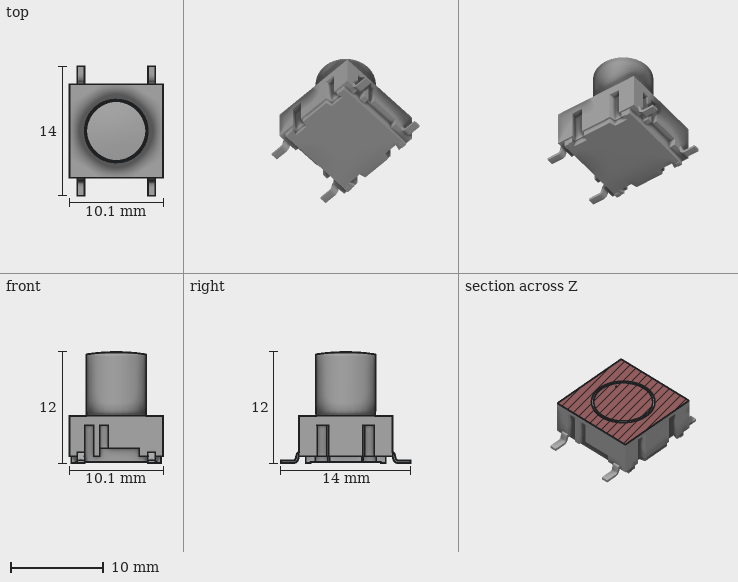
import cadquery as cq
import math

body_side = 10.1
total_height = 12.0
span_over_legs = 14.0

base_floor_z = 0.1
housing_bottom_z = 0.73
window_top_z = 1.6
cover_bottom_z = 4.1
cover_top_z = 5.1

base_length = 9.7
base_width = 8.66
base_foot_length = 0.5
base_foot_width = 0.55

groove_wall_lean = 0.2
groove_depth = 0.75
groove_outer_y = 3.07
groove_inner_y = 1.85
base_groove_depth = 0.7
base_groove_outer_y = 3.3
base_groove_inner_y = 1.71

channel_start_x = -3.4
rib_start_x = -2.4
rib_end_x = -1.75
slot_end_x = -0.85
window_end_x = 2.5
slot_depth = 0.53

cover_hole_diameter = 6.8
button_diameter = 6.5
button_foot_diameter = 6.4
button_step_z = 6.4
dome_edge_z = 11.73
rim_fillet = 0.15

leg_pitch = 7.62
leg_width = 0.8
leg_thickness = 0.3
leg_top_z = 1.17
leg_tilt = math.radians(15)
leg_small_radius = 0.27
leg_large_radius = leg_small_radius + leg_thickness
leg_shin_y = 5.46
leg_embed = 0.3

half_side = body_side / 2
half_base_length = base_length / 2
half_base_width = base_width / 2


def block(x_range, y_range, z_range):
    """Box given by its limits along each axis."""
    (x0, x1), (y0, y1), (z0, z1) = x_range, y_range, z_range
    return cq.Workplane("XY").box(x1 - x0, y1 - y0, z1 - z0, centered=False).translate((x0, y0, z0))


def half_turn(shape):
    """Copy of a shape turned 180 degrees about the vertical axis."""
    return shape.rotate((0, 0, 0), (0, 0, 1), 180)


def side_groove(face_x, depth, outer_y, inner_y, z_range):
    """Vertical groove in a -X face, with two parallel walls that lean outward."""
    z0, z1 = z_range
    points = [
        (-face_x, inner_y),
        (-face_x + depth, inner_y + groove_wall_lean),
        (-face_x + depth, outer_y + groove_wall_lean),
        (-face_x, outer_y),
    ]
    return cq.Workplane("XY").workplane(offset=z0).polyline(points).close().extrude(z1 - z0)


def cut_side_grooves(shape, groove):
    """Cut a groove at both ends of both X faces."""
    for cutter in (groove, groove.mirror("XZ")):
        shape = shape.cut(cutter).cut(half_turn(cutter))
    return shape


def make_housing():
    z_range = (housing_bottom_z, cover_bottom_z)
    housing = block((-half_side, half_side), (-half_side, half_side), z_range)
    groove = side_groove(half_side, groove_depth, groove_outer_y, groove_inner_y, z_range)
    housing = cut_side_grooves(housing, groove)

    deep_range = (-half_side, -half_base_width)
    channel = block((channel_start_x, rib_start_x), deep_range, z_range)
    window = block((rib_end_x, window_end_x), deep_range, (housing_bottom_z, window_top_z))
    slot = block(
        (rib_end_x, slot_end_x), (-half_side, -half_side + slot_depth), (window_top_z, cover_bottom_z)
    )
    for opening in (channel, window, slot):
        housing = housing.cut(opening).cut(half_turn(opening))
    return housing


def make_base():
    z_range = (0, housing_bottom_z)
    base = block((-half_base_length, half_base_length), (-half_base_width, half_base_width), z_range)

    inner_x = half_base_length - base_foot_length
    inner_y = half_base_width - base_foot_width
    relief_z = (0, base_floor_z)
    base = base.cut(block((-inner_x, inner_x), (-half_base_width, half_base_width), relief_z))
    base = base.cut(block((-half_base_length, half_base_length), (-inner_y, inner_y), relief_z))

    groove = side_groove(
        half_base_length,
        base_groove_depth,
        base_groove_outer_y,
        base_groove_inner_y,
        z_range,
    )
    return cut_side_grooves(base, groove)


def make_cover():
    cover = block((-half_side, half_side), (-half_side, half_side), (cover_bottom_z, cover_top_z))
    hole = cq.Workplane("XY").workplane(offset=cover_bottom_z).circle(cover_hole_diameter / 2)
    return cover.cut(hole.extrude(cover_top_z - cover_bottom_z))


def make_button():
    """Revolved button with a tapered foot, a rounded rim and a shallow domed top."""
    radius = button_diameter / 2
    dome_rise = total_height - dome_edge_z
    dome_radius = (radius**2 + dome_rise**2) / (2 * dome_rise)
    mid_x = radius / 2
    mid_z = total_height - dome_radius + math.sqrt(dome_radius**2 - mid_x**2)
    button = (
        cq.Workplane("XZ")
        .moveTo(0, cover_bottom_z)
        .lineTo(button_foot_diameter / 2, cover_bottom_z)
        .lineTo(radius, button_step_z)
        .lineTo(radius, dome_edge_z)
        .threePointArc((mid_x, mid_z), (0, total_height))
        .close()
        .revolve(360, (0, 0), (0, 1))
    )
    rim = cq.selectors.BoxSelector(
        (-button_diameter, -button_diameter, dome_edge_z - rim_fillet),
        (button_diameter, button_diameter, dome_edge_z + rim_fillet),
    )
    return button.edges("%CIRCLE").edges(rim).fillet(rim_fillet)


def make_leg():
    """Gull-wing leg on the +Y side, centred on X = 0."""
    lean = math.tan(leg_tilt)
    wall = leg_thickness / math.cos(leg_tilt)
    tip_y = span_over_legs / 2
    root_y = half_side - leg_embed
    stub_bottom_z = leg_top_z - leg_thickness

    def outer_y(z):
        """Outer face of the sloping shin at height z."""
        return leg_shin_y - (z - leg_thickness) * lean

    points = [
        (root_y, leg_top_z),
        (outer_y(leg_top_z), leg_top_z),
        (outer_y(leg_thickness), leg_thickness),
        (tip_y, leg_thickness),
        (tip_y, 0),
        (outer_y(0) - wall, 0),
        (outer_y(stub_bottom_z) - wall, stub_bottom_z),
        (root_y, stub_bottom_z),
    ]
    leg = cq.Workplane("YZ").polyline(points).close().extrude(leg_width / 2, both=True)

    def edge_at(y, z):
        return cq.selectors.NearestToPointSelector((0, y, z))

    upper_bends = [points[1], points[2]]
    for y, z in upper_bends:
        leg = leg.edges("|X").edges(edge_at(y, z)).fillet(leg_small_radius)
    heel_y, heel_z = points[5]
    return leg.edges("|X").edges(edge_at(heel_y, heel_z)).fillet(leg_large_radius)


def make_switch():
    switch = make_base().union(make_housing())
    for piece in (make_cover(), make_button()):
        switch = switch.union(piece, clean=False)
    leg = make_leg()
    for x in (-leg_pitch / 2, leg_pitch / 2):
        placed = leg.translate((x, 0, 0))
        switch = switch.union(placed, clean=False).union(half_turn(placed), clean=False)
    return switch


result = make_switch()